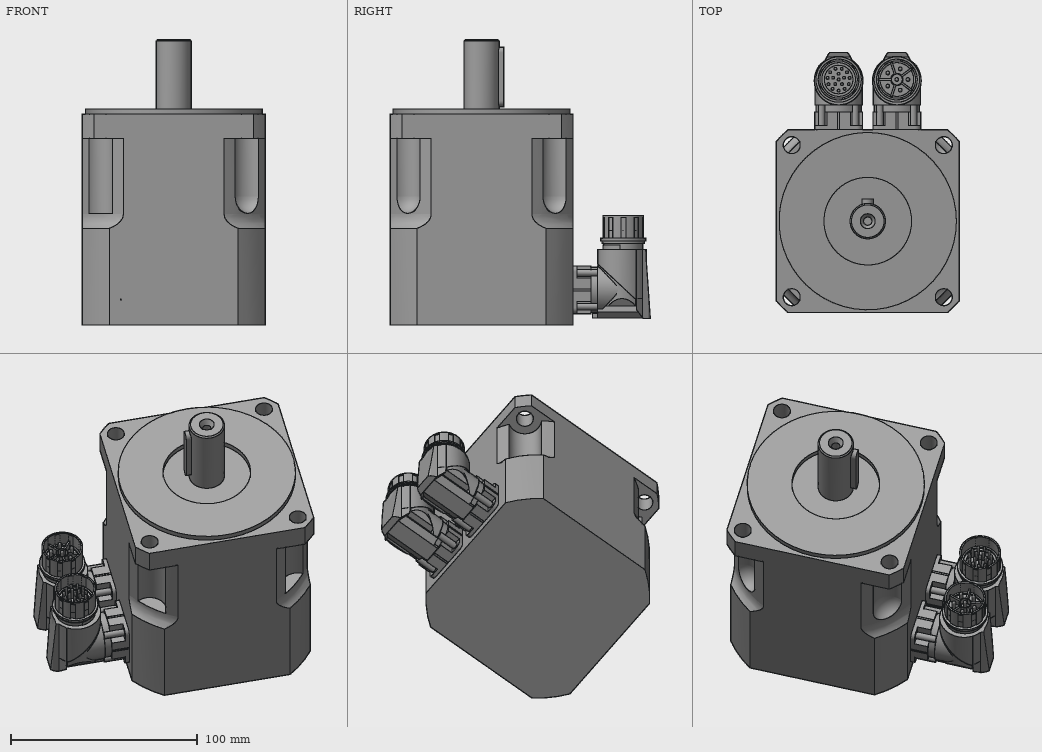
import cadquery as cq
import math

FLANGE_SIDE = 98.0
HALF_SIDE = FLANGE_SIDE / 2
FLANGE_TOP = 113.0
FLANGE_THICKNESS = 13.0
FLANGE_CORNER_R = 65.0
HOUSING_CORNER_R = 60.0
NECK_CORNER_R = 56.0
NECK_BOTTOM = 59.4
PILOT_DIAMETER = 95.0
PILOT_HEIGHT = 2.9
RECESS_DIAMETER = 47.0
BOLT_HOLE_DIAMETER = 9.0
BOLT_OFFSET = 40.7
BOLT_POCKET_R = 9.0
BOLT_POCKET_BOTTOM = 59.8
NECK_FILLET_R = 9.0

SHAFT_DIAMETER = 19.0
SHAFT_TOP = 153.0
SHAFT_CHAMFER = 0.8
CENTRE_HOLE_DIAMETER = 4.5
CENTRE_HOLE_DEPTH = 12.2
COUNTERSINK_DIAMETER = 8.0
COUNTERSINK_DEPTH = 3.0
KEY_WIDTH = 6.0
KEY_LENGTH = 32.0
KEY_TOP = 149.0
KEY_REACH = 12.0

CONNECTOR_X = 15.6
PLUG_Y = 75.9
ELBOW_Y = 75.3
OUTLET_Z = 19.0
BASE_SIDE = 25.7
BASE_CORNER_R = 3.0
BASE_LENGTH = 9.5
BASE_PLATE_THICKNESS = 2.1
SCREW_CUTOUT = 6.6
SCREW_DIAMETER = 3.7
SCREW_OFFSET = 9.0
BASE_GROOVE_WIDTH = 1.0
BASE_GROOVE_DEPTH = 0.2
COLLAR_DIAMETER = 24.3
ELBOW_DIAMETER = 26.2
ELBOW_R = ELBOW_DIAMETER / 2
ELBOW_TOP = 40.7
ELBOW_FRONT = ELBOW_Y - ELBOW_R
ELBOW_LOWER_DIAMETER = 25.9
OUTLET_DIAMETER = 25.5
MITRE_FRONT_Z = 32.9
MITRE_BACK_Y = 82.2
MITRE_BACK_Z = 14.2
BEVEL_Z = 14.5
COVER_REACH = 41.5
COVER_BACK = HALF_SIDE + COVER_REACH
COVER_ROOT_Y = 83.1
COVER_FLANK_Y = 86.3
COVER_SHOULDER_Y = 89.4
COVER_ROOT_HALF = 10.7
COVER_FLANK_HALF = 7.2
COVER_SHOULDER_HALF = 5.7
COVER_BACK_HALF = 4.6
COVER_TAPER = 2.6
COVER_BOTTOM = 3.5
COVER_BEVEL_Y = 86.6
COVER_BEVEL_Z = 8.3
FOOT_TOP = 10.4
FOOT_EDGE_Z = 7.2
FOOT_BOTTOM = 3.8
FOOT_SHELF_HALF = 10.7
FOOT_TOP_HALF = 7.3
FOOT_EDGE_HALF = 8.1
FOOT_BOTTOM_HALF = 4.6
TAB_LENGTH = 2.8
TAB_HEIGHT = 2.6

PLUG_NECK_DIAMETER = 21.1
NECK_PAD_DIAMETER = 21.7
NECK_PAD_TOP = 43.0
NECK_PAD_OFFSET = 1.7
RING_BOTTOM = 43.9
RING_TOP = 46.7
RING_DIAMETER = 24.3
RING_STEP_DIAMETER = 23.0
RING_STEP_HEIGHT = 1.2
SLEEVE_TOP = 58.9
SLEEVE_DIAMETER = 21.9
SLEEVE_RIM = 1.2
SLEEVE_GROOVE_DEPTH = 0.38
SLEEVE_GROOVE_WIDTH = 2.8
SLEEVE_PLACES = 9
PLAIN_PLACE_ANGLE = 241
MOUTH_DIAMETER = 20.0
MOUTH_DEPTH = 8.3
CAVITY_DIAMETER = 18.0
CAVITY_DEPTH = 9.2
CAVITY_FLOOR = SLEEVE_TOP - CAVITY_DEPTH
PIN_LENGTH = 6.1
OUTER_SIGNAL_PINS = 11
INNER_SIGNAL_PINS = 5
SIGNAL_PIN_DIAMETER = 1.5
SIGNAL_FACE_DIAMETER = 15.3
SIGNAL_FACE_DEPTH = 0.8
OUTER_PIN_RADIUS = 6.0
INNER_PIN_RADIUS = 3.0
POWER_PINS = 5
POWER_PIN_DIAMETER = 2.0
HUB_DIAMETER = 6.6
HUB_BORE = 5.8
DIVIDER_HEIGHT = 4.6
DIVIDER_WIDTH = 1.0


def cylinder(diameter, bottom, top, x=0.0, y=0.0):
    """Upright cylinder between two heights."""
    return cq.Workplane("XY", origin=(x, y, bottom)).circle(diameter / 2).extrude(top - bottom)


def cylinder_along_y(diameter, start, end, x, z):
    """Horizontal cylinder between two Y positions."""
    return cq.Workplane("XZ", origin=(x, start, z)).circle(diameter / 2).extrude(start - end)


def make_housing():
    """Square motor housing with flange, pilot, corner relief and bolt holes."""
    runout_bottom = NECK_BOTTOM - math.sqrt(
        NECK_FILLET_R**2 - (NECK_CORNER_R + NECK_FILLET_R - HOUSING_CORNER_R) ** 2
    )
    flange_bottom = FLANGE_TOP - FLANGE_THICKNESS
    sweep = math.asin((NECK_BOTTOM - runout_bottom) / NECK_FILLET_R)
    runout_middle = (
        NECK_CORNER_R + NECK_FILLET_R * (1 - math.cos(sweep / 2)),
        NECK_BOTTOM - NECK_FILLET_R * math.sin(sweep / 2),
    )
    turned_envelope = (
        cq.Workplane("XZ")
        .moveTo(0, 0)
        .lineTo(HOUSING_CORNER_R, 0)
        .lineTo(HOUSING_CORNER_R, runout_bottom)
        .threePointArc(runout_middle, (NECK_CORNER_R, NECK_BOTTOM))
        .lineTo(NECK_CORNER_R, flange_bottom)
        .lineTo(FLANGE_CORNER_R, flange_bottom)
        .lineTo(FLANGE_CORNER_R, FLANGE_TOP)
        .lineTo(0, FLANGE_TOP)
        .close()
        .revolve(360, (0, 0), (0, 1))
    )
    square_bar = cq.Workplane("XY").rect(FLANGE_SIDE, FLANGE_SIDE).extrude(FLANGE_TOP)
    housing = square_bar.intersect(turned_envelope)

    pilot_top = FLANGE_TOP + PILOT_HEIGHT
    pilot = cylinder(PILOT_DIAMETER, FLANGE_TOP, pilot_top)
    recess = cylinder(RECESS_DIAMETER, FLANGE_TOP, pilot_top)
    housing = housing.union(pilot.cut(recess))

    for x_side in (-1, 1):
        for y_side in (-1, 1):
            x = x_side * BOLT_OFFSET
            y = y_side * BOLT_OFFSET
            ball_ended = x_side > 0
            bolt_hole = cylinder(BOLT_HOLE_DIAMETER, flange_bottom, FLANGE_TOP, x, y)
            housing = housing.cut(bolt_hole).cut(make_bolt_pocket(x, y, flange_bottom, ball_ended))
    return housing


def make_bolt_pocket(x, y, top, ball_ended):
    """Screw-head pocket, either flat or ball-ended at its bottom."""
    if not ball_ended:
        return cylinder(2 * BOLT_POCKET_R, BOLT_POCKET_BOTTOM, top, x, y)
    ball_centre = BOLT_POCKET_BOTTOM + BOLT_POCKET_R
    ball = cq.Workplane("XY", origin=(x, y, ball_centre)).sphere(BOLT_POCKET_R)
    return cylinder(2 * BOLT_POCKET_R, ball_centre, top, x, y).union(ball)


def make_shaft():
    """Shaft standing on the recess floor, with centre hole and round-ended key."""
    shaft = cylinder(SHAFT_DIAMETER, FLANGE_TOP, SHAFT_TOP).faces(">Z").chamfer(SHAFT_CHAMFER)
    key = (
        cq.Workplane("XZ", origin=(0, 0, KEY_TOP - KEY_LENGTH / 2))
        .slot2D(KEY_LENGTH, KEY_WIDTH, 90)
        .extrude(-KEY_REACH)
    )
    centre_hole = (
        cq.Workplane("XZ")
        .moveTo(0, SHAFT_TOP)
        .lineTo(COUNTERSINK_DIAMETER / 2, SHAFT_TOP)
        .lineTo(CENTRE_HOLE_DIAMETER / 2, SHAFT_TOP - COUNTERSINK_DEPTH)
        .lineTo(CENTRE_HOLE_DIAMETER / 2, SHAFT_TOP - CENTRE_HOLE_DEPTH)
        .lineTo(0, SHAFT_TOP - CENTRE_HOLE_DEPTH)
        .close()
        .revolve(360, (0, 0), (0, 1))
    )
    return shaft.union(key).cut(centre_hole)


def make_base(x):
    """Square connector base on the housing wall, with four screws and a collar."""
    base_end = HALF_SIDE + BASE_LENGTH
    plate_end = HALF_SIDE + BASE_PLATE_THICKNESS
    base = (
        cq.Workplane("XZ", origin=(x, HALF_SIDE, OUTLET_Z))
        .rect(BASE_SIDE, BASE_SIDE)
        .extrude(-BASE_LENGTH)
        .edges("|Y")
        .fillet(BASE_CORNER_R)
    )
    cutout_centre = (BASE_SIDE - SCREW_CUTOUT) / 2
    corner_cutouts = (
        cq.Workplane("XZ", origin=(x, plate_end, OUTLET_Z))
        .rect(2 * cutout_centre, 2 * cutout_centre, forConstruction=True)
        .vertices()
        .rect(SCREW_CUTOUT, SCREW_CUTOUT)
        .extrude(plate_end - base_end)
    )
    screws = (
        cq.Workplane("XZ", origin=(x, plate_end, OUTLET_Z))
        .rect(2 * SCREW_OFFSET, 2 * SCREW_OFFSET, forConstruction=True)
        .vertices()
        .circle(SCREW_DIAMETER / 2)
        .extrude(plate_end - ELBOW_FRONT)
    )
    side_grooves = (
        cq.Workplane("XZ", origin=(x, HALF_SIDE, OUTLET_Z))
        .polarArray(BASE_SIDE / 2, 0, 360, 4)
        .rect(2 * BASE_GROOVE_DEPTH, BASE_GROOVE_WIDTH)
        .extrude(-BASE_LENGTH)
    )
    collar = cylinder_along_y(COLLAR_DIAMETER, base_end, ELBOW_FRONT, x, OUTLET_Z)
    return base.cut(corner_cutouts).cut(side_grooves).union(collar).union(screws)


def make_elbow(x):
    """Mitred elbow from the horizontal outlet to the upright plug."""
    above_mitre = (
        cq.Workplane("YZ", origin=(x, 0, 0))
        .moveTo(ELBOW_FRONT, MITRE_FRONT_Z)
        .lineTo(MITRE_BACK_Y, MITRE_BACK_Z)
        .lineTo(COVER_BACK, MITRE_BACK_Z)
        .lineTo(COVER_BACK, ELBOW_TOP)
        .lineTo(ELBOW_FRONT, ELBOW_TOP)
        .close()
        .extrude(ELBOW_R, both=True)
    )
    upper = cylinder(ELBOW_DIAMETER, MITRE_BACK_Z, ELBOW_TOP, x, ELBOW_Y).intersect(above_mitre)
    lower = cylinder(ELBOW_LOWER_DIAMETER, FOOT_BOTTOM, ELBOW_TOP, x, ELBOW_Y)
    lower = lower.intersect(make_cross_section(x))
    outlet_r = OUTLET_DIAMETER / 2
    outlet_space = (
        cq.Workplane("YZ", origin=(x, 0, 0))
        .moveTo(ELBOW_FRONT, OUTLET_Z - outlet_r)
        .lineTo(ELBOW_Y, OUTLET_Z)
        .lineTo(ELBOW_Y, OUTLET_Z + outlet_r)
        .lineTo(ELBOW_FRONT, OUTLET_Z + outlet_r)
        .close()
        .extrude(outlet_r, both=True)
    )
    outlet = cylinder_along_y(OUTLET_DIAMETER, ELBOW_FRONT, ELBOW_Y, x, OUTLET_Z).intersect(outlet_space)
    return lower.union(upper).union(outlet).union(make_foot(x)).union(make_cover(x))


def make_cross_section(x):
    """Bar along Y whose sides slope in towards the foot, flare out and end in a bevel."""
    right_side = [
        (FOOT_BOTTOM_HALF, FOOT_BOTTOM),
        (FOOT_EDGE_HALF, FOOT_EDGE_Z),
        (FOOT_TOP_HALF, FOOT_TOP),
        (FOOT_SHELF_HALF, FOOT_TOP),
        (ELBOW_R, BEVEL_Z),
        (ELBOW_R, ELBOW_TOP),
    ]
    left_side = [(-half_width, z) for half_width, z in reversed(right_side)]
    frame = cq.Workplane("XZ", origin=(x, ELBOW_FRONT, 0))
    return frame.polyline(right_side + left_side).close().extrude(ELBOW_FRONT - COVER_ROOT_Y - ELBOW_R)


def make_foot(x):
    """Bevelled rail under the elbow, with a small tab towards the motor."""
    rail_space = cq.Workplane("XY", origin=(x, ELBOW_FRONT, FOOT_BOTTOM)).box(
        2 * FOOT_EDGE_HALF, COVER_ROOT_Y - ELBOW_FRONT, FOOT_TOP - FOOT_BOTTOM, centered=(True, False, False)
    )
    rail = make_cross_section(x).intersect(rail_space)
    tab = cq.Workplane("XY", origin=(x, ELBOW_FRONT, FOOT_BOTTOM)).box(
        2 * FOOT_BOTTOM_HALF, 2 * TAB_LENGTH, TAB_HEIGHT, centered=(True, True, False)
    )
    return rail.union(tab)


def make_cover(x):
    """Back cover of the elbow: bevelled at the sides, leaning in towards its top."""
    right_side = [
        (COVER_ROOT_HALF, ELBOW_Y),
        (COVER_ROOT_HALF, COVER_ROOT_Y),
        (COVER_FLANK_HALF, COVER_FLANK_Y),
        (COVER_SHOULDER_HALF, COVER_SHOULDER_Y),
        (COVER_BACK_HALF, COVER_BACK),
    ]
    left_side = [(-half_width, y) for half_width, y in reversed(right_side)]
    frame = cq.Workplane("XY", origin=(x, 0, COVER_BOTTOM))
    plan = frame.polyline(right_side + left_side).close().extrude(ELBOW_TOP - COVER_BOTTOM)
    side_profile = (
        cq.Workplane("YZ", origin=(x, 0, 0))
        .moveTo(COVER_BACK, COVER_BOTTOM)
        .lineTo(COVER_BACK - COVER_TAPER, ELBOW_TOP)
        .lineTo(ELBOW_Y, ELBOW_TOP)
        .lineTo(ELBOW_Y, FOOT_TOP)
        .lineTo(COVER_ROOT_Y, FOOT_TOP)
        .lineTo(COVER_ROOT_Y, COVER_BEVEL_Z)
        .lineTo(COVER_BEVEL_Y, COVER_BOTTOM)
        .close()
        .extrude(COVER_ROOT_HALF, both=True)
    )
    return plan.intersect(side_profile)


def make_sleeve(x):
    """Plug sleeve with neck, locking ring, outer grooves and stepped cavity."""
    neck = cylinder(PLUG_NECK_DIAMETER, ELBOW_TOP, RING_BOTTOM, x, PLUG_Y)
    pad_space = cq.Workplane("XY", origin=(x, PLUG_Y - NECK_PAD_OFFSET, ELBOW_TOP)).box(
        NECK_PAD_DIAMETER, NECK_PAD_DIAMETER, NECK_PAD_TOP - ELBOW_TOP, centered=(True, False, False)
    )
    pad_space = pad_space.translate((0, -NECK_PAD_DIAMETER, 0))
    neck_pad = cylinder(NECK_PAD_DIAMETER, ELBOW_TOP, NECK_PAD_TOP, x, PLUG_Y).intersect(pad_space)
    ring_step = cylinder(RING_STEP_DIAMETER, RING_BOTTOM, RING_BOTTOM + RING_STEP_HEIGHT, x, PLUG_Y)
    ring = cylinder(RING_DIAMETER, RING_BOTTOM + RING_STEP_HEIGHT, RING_TOP, x, PLUG_Y)
    sleeve = cylinder(SLEEVE_DIAMETER, RING_TOP, SLEEVE_TOP, x, PLUG_Y)

    groove_step = 360 / SLEEVE_PLACES
    groove_height = SLEEVE_TOP - SLEEVE_RIM - RING_TOP
    for index in range(1, SLEEVE_PLACES):
        angle = PLAIN_PLACE_ANGLE + index * groove_step
        groove = (
            cq.Workplane("XY", origin=(x, PLUG_Y, RING_TOP))
            .transformed(rotate=(0, 0, angle))
            .center(SLEEVE_DIAMETER / 2, 0)
            .rect(2 * SLEEVE_GROOVE_DEPTH, SLEEVE_GROOVE_WIDTH)
            .extrude(groove_height)
        )
        sleeve = sleeve.cut(groove)

    mouth = cylinder(MOUTH_DIAMETER, SLEEVE_TOP - MOUTH_DEPTH, SLEEVE_TOP, x, PLUG_Y)
    cavity = cylinder(CAVITY_DIAMETER, CAVITY_FLOOR, SLEEVE_TOP, x, PLUG_Y)
    return neck.union(neck_pad).union(ring_step).union(ring).union(sleeve).cut(mouth).cut(cavity)


def ring_points(count, radius, start_angle):
    """Evenly spaced points on a circle, starting at an angle in degrees."""
    angles = [math.radians(start_angle + index * 360 / count) for index in range(count)]
    return [(radius * math.cos(angle), radius * math.sin(angle)) for angle in angles]


def make_pins(x, floor, diameter, points):
    """Round-ended contact pins standing on the given floor height."""
    straight_length = CAVITY_FLOOR + PIN_LENGTH - diameter / 2 - floor
    places = cq.Workplane("XY", origin=(x, PLUG_Y, floor)).pushPoints(points)
    stems = places.circle(diameter / 2).extrude(straight_length)
    tips = places.sphere(diameter / 2).translate((0, 0, straight_length))
    return stems.union(tips)


def make_connector_shell(x):
    """Everything that the two connectors have in common."""
    return make_base(x).union(make_elbow(x)).union(make_sleeve(x))


def make_signal_connector():
    """Connector with 17 thin pins: eleven outer, five inner, one central."""
    x = -CONNECTOR_X
    face = CAVITY_FLOOR - SIGNAL_FACE_DEPTH
    face_recess = cylinder(SIGNAL_FACE_DIAMETER, face, CAVITY_FLOOR, x, PLUG_Y)
    outer_ring = ring_points(OUTER_SIGNAL_PINS, OUTER_PIN_RADIUS, -90)
    inner_ring = ring_points(INNER_SIGNAL_PINS, INNER_PIN_RADIUS, 90)
    points = outer_ring + inner_ring + [(0, 0)]
    pins = make_pins(x, face, SIGNAL_PIN_DIAMETER, points)
    return make_connector_shell(x).cut(face_recess).union(pins)


def make_power_connector():
    """Connector with six thick pins, parted by a hub and five divider walls."""
    x = CONNECTOR_X
    points = ring_points(POWER_PINS, OUTER_PIN_RADIUS, 0) + [(0, 0)]
    pins = make_pins(x, CAVITY_FLOOR, POWER_PIN_DIAMETER, points)

    divider_top = CAVITY_FLOOR + DIVIDER_HEIGHT
    dividers = cylinder(HUB_DIAMETER, CAVITY_FLOOR, divider_top, x, PLUG_Y)
    divider_length = (CAVITY_DIAMETER + MOUTH_DIAMETER) / 4
    for index in range(POWER_PINS):
        wall = (
            cq.Workplane("XY", origin=(x, PLUG_Y, CAVITY_FLOOR))
            .transformed(rotate=(0, 0, (index + 0.5) * 360 / POWER_PINS))
            .center(divider_length / 2, 0)
            .rect(divider_length, DIVIDER_WIDTH)
            .extrude(DIVIDER_HEIGHT)
        )
        dividers = dividers.union(wall)
    dividers = dividers.cut(cylinder(HUB_BORE, CAVITY_FLOOR, divider_top, x, PLUG_Y))
    return make_connector_shell(x).union(dividers).union(pins)


housing = make_housing()
shaft = make_shaft()
signal_connector = make_signal_connector()
power_connector = make_power_connector()

result = cq.Compound.makeCompound(
    [housing.val(), shaft.val(), signal_connector.val(), power_connector.val()]
)